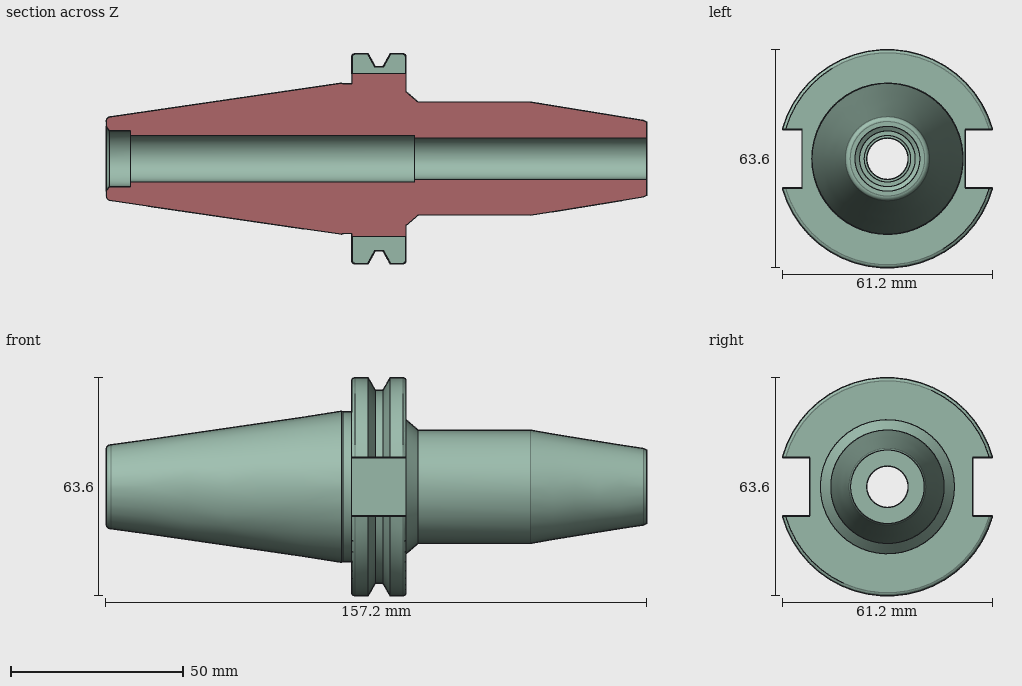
import cadquery as cq
import math

total_length = 157.2

taper_slope = 7 / 48
gauge_radius = 22.0
gauge_x = 68.4
tail_round = 1.4
tail_radius = gauge_radius - taper_slope * gauge_x
neck_radius = 21.9
neck_start_x = 68.9

flange_radius = 31.8
flange_start_x = 71.4
flange_end_x = 87.3
flange_edge_round = 1.0
groove_center_x = 79.4
groove_floor_radius = 28.1
groove_floor_width = 2.2
groove_wall_angle = 30.0

slot_width = 16.8
slot_edge_chamfer = 0.24
deep_slot_floor_offset = 22.6
shallow_slot_floor_offset = 24.8

nose_radius = 16.5
flare_radius = 19.5
flare_end_x = 90.7
nose_cone_start_x = 123.5
nose_tip_radius = 11.2
tip_chamfer_length = 1.0
tip_chamfer_depth = 0.5

mouth_radius = 9.5
mouth_depth = 1.0
entry_radius = 16.2 / 2
entry_depth = 7.0
middle_radius = 6.8
middle_depth = 89.6
tool_bore_radius = 6.0


def revolve_about_x(profile):
    return profile.close().revolve(360, (0, 0, 0), (1, 0, 0))


def make_body():
    groove_half_floor = groove_floor_width / 2
    groove_depth = flange_radius - groove_floor_radius
    groove_half_top = groove_half_floor + groove_depth * math.tan(math.radians(groove_wall_angle))
    flange_edge_radius = flange_radius - flange_edge_round
    flange_round_mid = flange_edge_round * (1 - math.sqrt(0.5))
    flange_mid_radius = flange_radius - flange_round_mid
    round_end_radius = tail_radius + taper_slope * tail_round
    round_mid = tail_round * (1 - math.sqrt(0.5))
    tail_face_radius = round_end_radius - tail_round
    profile = (
        cq.Workplane("XY")
        .lineTo(0, tail_face_radius)
        .threePointArc((round_mid, round_end_radius - round_mid), (tail_round, round_end_radius))
        .lineTo(gauge_x, gauge_radius)
        .lineTo(neck_start_x, neck_radius)
        .lineTo(flange_start_x, neck_radius)
        .lineTo(flange_start_x, flange_edge_radius)
        .threePointArc(
            (flange_start_x + flange_round_mid, flange_mid_radius),
            (flange_start_x + flange_edge_round, flange_radius),
        )
        .lineTo(groove_center_x - groove_half_top, flange_radius)
        .lineTo(groove_center_x - groove_half_floor, groove_floor_radius)
        .lineTo(groove_center_x + groove_half_floor, groove_floor_radius)
        .lineTo(groove_center_x + groove_half_top, flange_radius)
        .lineTo(flange_end_x - flange_edge_round, flange_radius)
        .threePointArc(
            (flange_end_x - flange_round_mid, flange_mid_radius),
            (flange_end_x, flange_edge_radius),
        )
        .lineTo(flange_end_x, flare_radius)
        .lineTo(flare_end_x, nose_radius)
        .lineTo(nose_cone_start_x, nose_radius)
        .lineTo(total_length - tip_chamfer_length, nose_tip_radius)
        .lineTo(total_length, nose_tip_radius - tip_chamfer_depth)
        .lineTo(total_length, 0)
    )
    return revolve_about_x(profile)


def make_bore():
    profile = (
        cq.Workplane("XY")
        .lineTo(0, mouth_radius)
        .lineTo(mouth_depth, entry_radius)
        .lineTo(entry_depth, entry_radius)
        .lineTo(entry_depth, middle_radius)
        .lineTo(middle_depth, middle_radius)
        .lineTo(middle_depth, tool_bore_radius)
        .lineTo(total_length, tool_bore_radius)
        .lineTo(total_length, 0)
    )
    return revolve_about_x(profile)


def make_drive_slot(side, floor_offset):
    flange_width = flange_end_x - flange_start_x
    slot_depth = flange_radius - floor_offset
    slot_center_x = (flange_start_x + flange_end_x) / 2
    slot_center_y = side * (floor_offset + slot_depth / 2)
    return (
        cq.Workplane("XY")
        .box(flange_width, slot_depth, slot_width)
        .translate((slot_center_x, slot_center_y, 0))
    )


def chamfer_slot_walls(part):
    """Break every slot wall edge except the inside corner along the slot floor."""
    position_tolerance = 0.02
    edges = []
    for face in part.faces("|Z").vals():
        for edge in face.Edges():
            center = edge.Center()
            on_floor = any(
                abs(center.y - floor_y) < position_tolerance
                for floor_y in (-deep_slot_floor_offset, shallow_slot_floor_offset)
            )
            if not on_floor:
                edges.append(edge)
    return part.newObject(edges).chamfer(slot_edge_chamfer)


result = make_body().cut(make_bore())
result = result.cut(make_drive_slot(-1, deep_slot_floor_offset))
result = result.cut(make_drive_slot(1, shallow_slot_floor_offset))
result = chamfer_slot_walls(result)